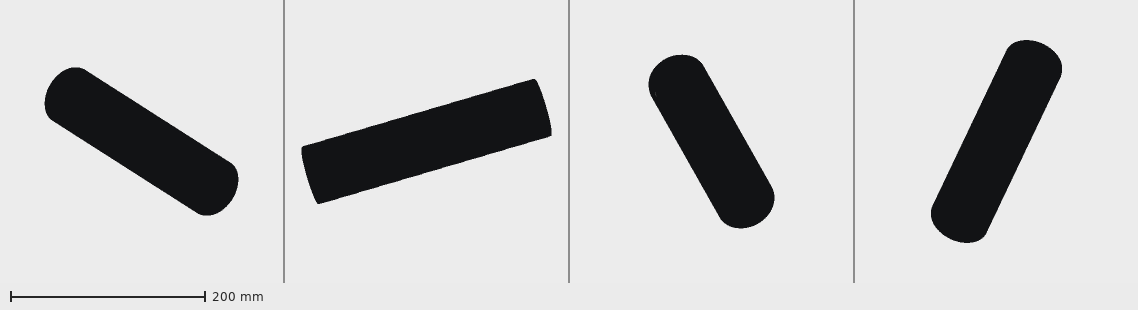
import cadquery as cq
import math

length = 250.0
outer_diameter = 60.2
wall = 2.0
crest_radius = outer_diameter / 2
bore_radius = crest_radius - wall
turns = 125
pitch = length / turns
flank_half_angle = 30
crest_flat = pitch / 8
root_flat = pitch / 4
flank_width = (pitch - crest_flat - root_flat) / 2
thread_depth = flank_width / math.tan(math.radians(flank_half_angle))
root_radius = crest_radius - thread_depth

thread_start_angle = -16
spiral_steps = 6

origin = cq.Vector(0, 0, 0)
axis = cq.Vector(1, 0, 0)

corners = [
    (0, crest_radius),
    (crest_flat, crest_radius),
    (crest_flat + flank_width, root_radius),
    (crest_flat + flank_width + root_flat, root_radius),
    (pitch, crest_radius),
]
strip_count = len(corners) - 1
end_turns = [-offset / pitch for offset, _ in corners]


def helix(corner, start, end):
    """Edge followed by a thread corner between two turn values."""
    offset, radius = corners[corner]
    center = axis * (offset + start * pitch)
    wire = cq.Wire.makeHelix(pitch, (end - start) * pitch, radius, center, axis)
    return wire.rotate(origin, axis, 360 * start).Edges()[0]


def end_spiral(strip):
    """Edge where a strip of the thread meets the near end plane."""
    points = []
    for step in range(spiral_steps + 1):
        part = step / spiral_steps
        turn = end_turns[strip + 1] + (end_turns[strip] - end_turns[strip + 1]) * part
        radius = corners[strip + 1][1] + (corners[strip][1] - corners[strip + 1][1]) * part
        angle = 2 * math.pi * turn
        points.append(cq.Vector(0, -radius * math.sin(angle), radius * math.cos(angle)))
    return cq.Edge.makeSpline(points)


def strip_face(strip, start, end):
    """Crest, flank or root face between two neighbouring corner helices."""
    return cq.Face.makeRuledSurface(helix(strip, start, end), helix(strip + 1, start, end))


def full_turn_faces():
    """Whole turns between the two cut-off ends."""
    one_turn = [strip_face(strip, 0, 1) for strip in range(strip_count)]
    return [face.translate(axis * (pitch * turn)) for turn in range(turns - 1) for face in one_turn]


def near_end_faces():
    """Thread strips running out of the near end plane."""
    faces = []
    for cut in range(strip_count):
        start, end = end_turns[cut + 1], end_turns[cut]
        faces.append(cq.Face.makeRuledSurface(end_spiral(cut), helix(cut + 1, start, end)))
        faces += [strip_face(strip, start, end) for strip in range(cut + 1, strip_count)]
    return faces


def far_end_faces():
    """Thread strips running into the far end plane."""
    faces = []
    for cut in range(strip_count):
        start, end = end_turns[cut + 1], end_turns[cut]
        faces.append(cq.Face.makeRuledSurface(helix(cut, start, end), end_spiral(cut)))
        faces += [strip_face(strip, start, end) for strip in range(cut)]
    return [face.translate(axis * length) for face in faces]


def end_rings():
    """Flat rings between the thread and the bore at both ends."""
    outline = cq.Wire.assembleEdges([end_spiral(strip) for strip in range(strip_count)])
    bore_edge = cq.Wire.makeCircle(bore_radius, origin, axis)
    ring = cq.Face.makeFromWires(outline, [bore_edge])
    return [ring, ring.translate(axis * length)]


def bore_faces():
    bore = cq.Solid.makeCylinder(bore_radius, length, origin, axis)
    return [face for face in bore.Faces() if face.geomType() == "CYLINDER"]


faces = near_end_faces() + full_turn_faces() + far_end_faces() + end_rings() + bore_faces()
tube = cq.Solid.makeSolid(cq.Shell.makeShell(faces))
result = cq.Workplane(tube.rotate(origin, axis, thread_start_angle))